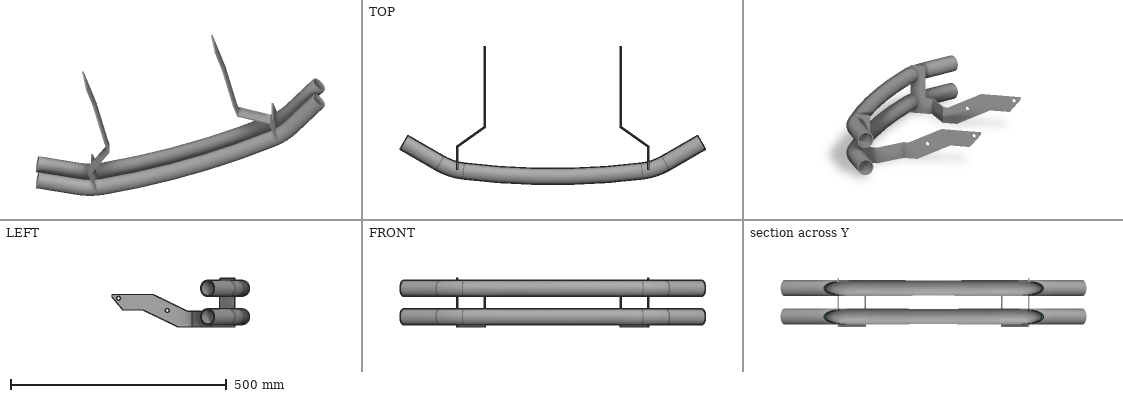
import cadquery as cq
import math


overall_width = 709.0
overall_depth = 320.0
overall_height = 113.5

tube_diameter = 37.5
tube_wall = 2.0
tube_pitch = 66.0
middle_radius = 1688.0
middle_half_width = 207.0
bend_radius = 145.0
end_angle = math.radians(30)

tube_radius = tube_diameter / 2
lower_tube_height = (overall_height - tube_pitch) / 2
tube_heights = [lower_tube_height, lower_tube_height + tube_pitch]

plate_thickness = 3.2
front_leg_outer_x = 223.0
rear_leg_outer_x = 159.5
front_edge_y = 35.0
front_bend_y = 89.5
rear_bend_y = 134.0

upright_depth = 36.0
upright_chamfer = 3.0
arm_height = 37.0
tail_rise = 39.0
lower_slope_front_y = 167.0
lower_slope_rear_y = 247.5
upper_slope_front_y = 145.0
upper_slope_rear_y = 225.0
tail_tip_height = 6.5
tail_foot_y = 294.5

hole_diameter = 8.5
hole_centres = [(191.5, 38.0), (304.0, 67.0)]


def arc_point(centre_y, radius, angle):
    """Point at an angle from the lowest point of a circle whose centre lies at x = 0."""
    return radius * math.sin(angle), centre_y - radius * math.cos(angle)


def tube_axis_points():
    """Right-hand axis points: middle arc end, halfway round the bend, bend end, tube end."""
    joint_angle = math.asin(middle_half_width / middle_radius)
    joint = arc_point(tube_radius + middle_radius, middle_radius, joint_angle)
    bend_centre_x = joint[0] - bend_radius * math.sin(joint_angle)
    bend_centre_y = joint[1] + bend_radius * math.cos(joint_angle)

    def bend_point(angle):
        x, y = arc_point(bend_centre_y, bend_radius, angle)
        return bend_centre_x + x, y

    bend_middle = bend_point((joint_angle + end_angle) / 2)
    bend_end = bend_point(end_angle)
    end_x = overall_width / 2 - tube_radius * math.sin(end_angle)
    end_y = bend_end[1] + (end_x - bend_end[0]) * math.tan(end_angle)
    return joint, bend_middle, bend_end, (end_x, end_y)


def bent_rod(radius, height):
    """Solid round bar along the tube axis at the given height."""
    right = tube_axis_points()
    joint, bend_middle, bend_end, tip = right
    left_joint, left_bend_middle, left_bend_end, left_tip = [(-x, y) for x, y in right]
    path = (
        cq.Workplane("XY", origin=(0, 0, height))
        .moveTo(*left_tip)
        .lineTo(*left_bend_end)
        .threePointArc(left_bend_middle, left_joint)
        .threePointArc((0, tube_radius), joint)
        .threePointArc(bend_middle, bend_end)
        .lineTo(*tip)
    )
    end_plane = cq.Plane(
        origin=(*left_tip, height),
        xDir=(-math.sin(end_angle), -math.cos(end_angle), 0),
        normal=(math.cos(end_angle), -math.sin(end_angle), 0),
    )
    return cq.Workplane(end_plane).circle(radius).sweep(path)


def make_tube(height):
    return bent_rod(tube_radius, height).cut(bent_rod(tube_radius - tube_wall, height))


def bracket_plan():
    """Bent strip of constant thickness, mitred at both bends, over the full height."""
    front_inner_x = front_leg_outer_x - plate_thickness
    rear_inner_x = rear_leg_outer_x - plate_thickness
    bend_angle = math.atan2(front_leg_outer_x - rear_leg_outer_x, rear_bend_y - front_bend_y)
    mitre = plate_thickness * math.tan(bend_angle / 2)
    return (
        cq.Workplane("XY")
        .polyline([
            (front_leg_outer_x, front_edge_y),
            (front_leg_outer_x, front_bend_y),
            (rear_leg_outer_x, rear_bend_y),
            (rear_leg_outer_x, overall_depth),
            (rear_inner_x, overall_depth),
            (rear_inner_x, rear_bend_y - mitre),
            (front_inner_x, front_bend_y - mitre),
            (front_inner_x, front_edge_y),
        ])
        .close()
        .extrude(overall_height)
    )


def bracket_profile():
    """Side outline of the bracket, extruded across the right-hand half."""
    tail_top = arm_height + tail_rise
    upright_rear_y = front_edge_y + upright_depth
    return (
        cq.Workplane("YZ")
        .polyline([
            (front_edge_y, 0),
            (lower_slope_front_y, 0),
            (lower_slope_rear_y, tail_rise),
            (tail_foot_y, tail_rise),
            (overall_depth, tail_top - tail_tip_height),
            (overall_depth, tail_top),
            (upper_slope_rear_y, tail_top),
            (upper_slope_front_y, arm_height),
            (upright_rear_y, arm_height),
            (upright_rear_y, overall_height - upright_chamfer),
            (upright_rear_y - upright_chamfer, overall_height),
            (front_edge_y, overall_height),
        ])
        .close()
        .extrude(overall_width / 2)
    )


def bolt_holes():
    return (
        cq.Workplane("YZ")
        .pushPoints(hole_centres)
        .circle(hole_diameter / 2)
        .extrude(overall_width / 2)
    )


def make_bracket():
    """Right-hand bracket, notched so that both tubes sit in its front edge."""
    bracket = bracket_plan().intersect(bracket_profile()).cut(bolt_holes())
    for height in tube_heights:
        bracket = bracket.cut(bent_rod(tube_radius, height))
    return bracket


tubes = [make_tube(height) for height in tube_heights]
right_bracket = make_bracket()
left_bracket = right_bracket.mirror("YZ")
brackets = [right_bracket, left_bracket]

result = cq.Compound.makeCompound([body.val() for body in tubes + brackets])